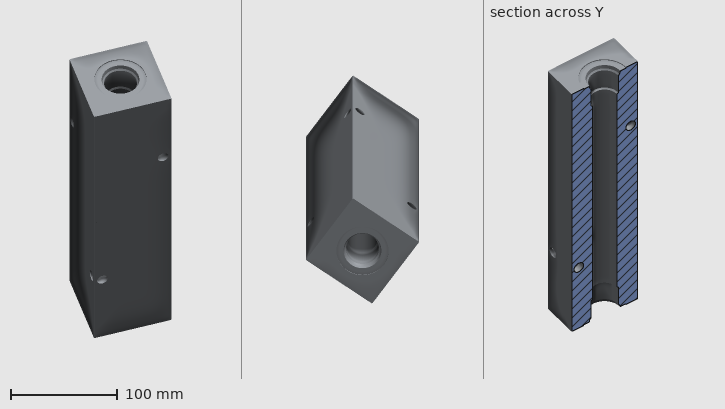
import cadquery as cq
import math

length = 311.0
width = 76.2
edge_chamfer = 0.5
end_height = length / 2

bore_radius = 27.5 / 2

spotface_radius = 49.0 / 2
spotface_depth = 1.0
seal_cone_radius = 35.5 / 2
seal_cone_depth = 3.5
seal_cone_angle = 15.0
port_hole_radius = 30.8 / 2
port_hole_depth = 28.0
drill_point_angle = 118.0

cross_hole_diameter = 10.5
cross_hole_offset = 30.0
cross_hole_height = 76.0


def port_cutter():
    """Stepped port at the upper end, as one solid turned about Z."""
    cone_top = end_height - spotface_depth
    cone_bottom = cone_top - seal_cone_depth
    cone_bottom_radius = seal_cone_radius - seal_cone_depth * math.tan(math.radians(seal_cone_angle))
    chamfer_bottom = cone_bottom - (cone_bottom_radius - port_hole_radius)
    hole_bottom = end_height - port_hole_depth
    drill_tip = hole_bottom - port_hole_radius / math.tan(math.radians(drill_point_angle / 2))
    profile = (
        cq.Workplane("XZ")
        .moveTo(0, end_height)
        .lineTo(spotface_radius, end_height)
        .lineTo(spotface_radius, cone_top)
        .lineTo(seal_cone_radius, cone_top)
        .lineTo(cone_bottom_radius, cone_bottom)
        .lineTo(port_hole_radius, chamfer_bottom)
        .lineTo(port_hole_radius, hole_bottom)
        .lineTo(0, drill_tip)
        .close()
    )
    return profile.revolve(360, (0, 0, 0), (0, 1, 0))


def cross_hole(plane, x, y, z):
    """Hole through the full width, along the normal of the given plane."""
    hole = cq.Workplane(plane).circle(cross_hole_diameter / 2).extrude(width, both=True)
    return hole.translate((x, y, z))


result = cq.Workplane("XY").box(width, width, length)
result = result.edges("|Z").chamfer(edge_chamfer)

bore = cq.Workplane("XY").circle(bore_radius).extrude(end_height, both=True)
upper_port = port_cutter()
result = result.cut(bore).cut(upper_port).cut(upper_port.mirror("XY"))

for level in (1, -1):
    offset = level * cross_hole_offset
    height = level * cross_hole_height
    result = result.cut(cross_hole("XZ", -offset, 0, height))
    result = result.cut(cross_hole("YZ", 0, offset, height))